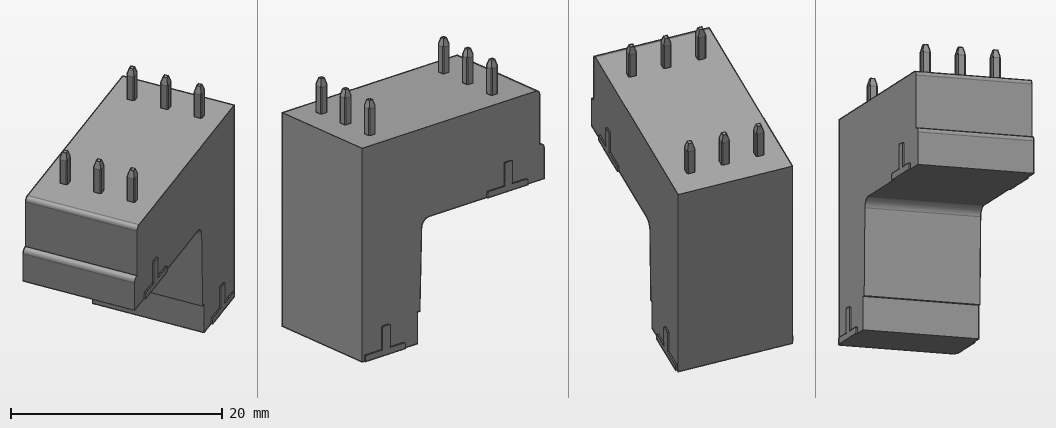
import cadquery as cq
import math

body_width = 11.6
body_depth = 22.7
body_top = 21.9
arm_underside = 12.65
leg_foot_depth = 6.9
foot_height = 3.25
foot_step = 0.3
leg_draft_angle = 1.5
inner_corner_radius = 0.95
nose_top = 16.3
nose_step = 0.55
nose_radius = 0.5
top_front_radius = 0.45

pin_top = 25.4
pin_width = 0.81
pin_corner_chamfer = 0.1
pin_tip_width = 0.38
pin_tip_height = 0.8
pin_pitch = 3.5
pins_per_row = 3
first_row_setback = 2.92
row_spacing = 15.25

key_thickness = 0.15
key_height = 3.02
key_bar_width = 5.0
key_bar_height = 0.64
key_bar_shift = 0.13
key_stem_width = 0.97
key_corner_radius = 0.18

row_positions = [-first_row_setback, -first_row_setback - row_spacing]


def make_body():
    """Side profile in the YZ plane, extruded across the width."""
    step_y = -leg_foot_depth - foot_step
    draft_run = (arm_underside - foot_height) * math.tan(math.radians(leg_draft_angle))
    inner_corner_y = step_y - draft_run
    upper_front_y = -body_depth + nose_step
    block = (
        cq.Workplane("YZ")
        .moveTo(0, 0)
        .lineTo(-leg_foot_depth, 0)
        .lineTo(-leg_foot_depth, foot_height)
        .lineTo(step_y, foot_height)
        .lineTo(inner_corner_y, arm_underside)
        .lineTo(-body_depth, arm_underside)
        .lineTo(-body_depth, nose_top)
        .lineTo(upper_front_y, nose_top)
        .lineTo(upper_front_y, body_top)
        .lineTo(0, body_top)
        .close()
        .extrude(body_width / 2, both=True)
    )

    def edge_across(y, z):
        return cq.selectors.NearestToPointSelector((0, y, z))

    block = block.edges(edge_across(inner_corner_y, arm_underside)).fillet(inner_corner_radius)
    block = block.edges(edge_across(-body_depth, nose_top)).fillet(nose_radius)
    return block.edges(edge_across(upper_front_y, body_top)).fillet(top_front_radius)


def make_key(row_y, base_z):
    """Inverted-T plate running through the body so that it stands proud of both sides."""
    length = body_width + 2 * key_thickness
    bar = (
        cq.Workplane("XY")
        .box(length, key_bar_width, key_bar_height, centered=(True, True, False))
        .edges("|X and >Z")
        .fillet(key_corner_radius)
        .translate((0, key_bar_shift, 0))
    )
    stem = (
        cq.Workplane("XY")
        .box(length, key_stem_width, key_height, centered=(True, True, False))
        .edges("|X and >Z")
        .fillet(key_corner_radius)
    )
    return bar.union(stem).translate((0, row_y, base_z))


def make_pin(x, y):
    """Square pin with chamfered corners and a tapered tip, rooted in the top face."""
    shaft_height = pin_top - body_top - pin_tip_height
    shaft = (
        cq.Workplane("XY")
        .rect(pin_width, pin_width)
        .extrude(shaft_height + pin_tip_height)
        .edges("|Z")
        .chamfer(pin_corner_chamfer)
    )
    taper_envelope = (
        cq.Workplane("XY")
        .rect(pin_width, pin_width)
        .extrude(shaft_height)
        .faces(">Z")
        .workplane()
        .rect(pin_width, pin_width)
        .workplane(offset=pin_tip_height)
        .rect(pin_tip_width, pin_tip_width)
        .loft()
    )
    return shaft.intersect(taper_envelope).translate((x, y, body_top))


result = make_body()
for row_y, base_z in zip(row_positions, [0, arm_underside]):
    result = result.union(make_key(row_y, base_z))
    for index in range(pins_per_row):
        pin_x = (index - (pins_per_row - 1) / 2) * pin_pitch
        result = result.union(make_pin(pin_x, row_y))